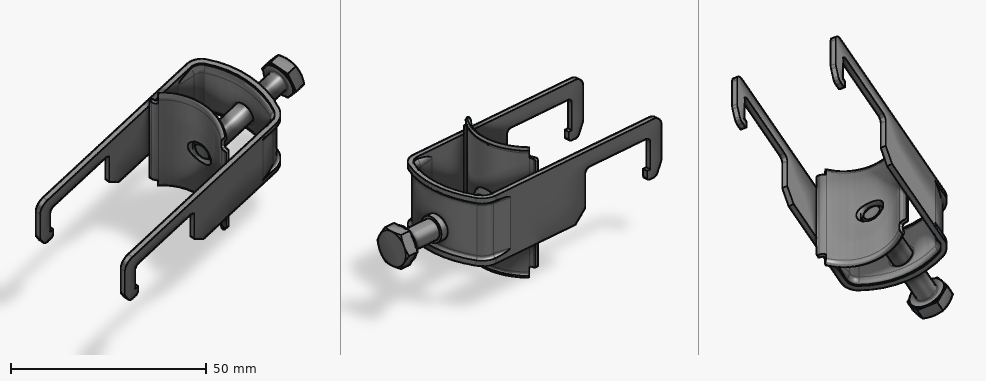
import cadquery as cq
import math


cutter_margin = 4.1

strap_thickness = 1.5
strap_width = 30.0
strap_half_width = strap_width / 2
strap_height = 20.0
strap_mid_z = 2.7
crown_y = 67.1
crown_radius = 27.0
corner_radius = 5.1
crown_center_y = crown_y - crown_radius
corner_center_x = strap_half_width - corner_radius
corner_center_rise = math.sqrt((crown_radius - corner_radius) ** 2 - corner_center_x**2)
corner_center_y = crown_center_y + corner_center_rise
strap_top_z = strap_mid_z + strap_height / 2
strap_bottom_z = strap_mid_z - strap_height / 2

press_depth = 1.0
press_end_y = 54.5
press_floor_half_height = 7.4
press_outer_round = 1.0
press_inner_round = press_outer_round + strap_thickness

leg_corner_radius = 3.0
heel_chamfer = 3.5
slot_heel_y = 27.45
slot_hook_y = 4.1
slot_top_z = 7.8
slot_heel_radius = 1.5
slot_hook_radius = 1.5
lip_y = 5.3
lip_top_z = -1.65
hook_bottom_z = -4.6
hook_bevel_z = -0.5
hook_bevel_y = 1.9
hook_bevel_radius = 2.5
hook_tip_radius = 1.7
lip_radius = 1.0

collar_diameter = 7.5
collar_top_y = 68.1
collar_inlet_round = 0.7

screw_diameter = 6.0
head_across_flats = 10.0
head_top_y = 82.2
head_height = 4.0
washer_face_thickness = 0.4
head_chamfer_angle = 30.0
under_head_round = 0.25
screw_end_y = 48.1
screw_end_chamfer = 0.65

saddle_thickness = 1.0
saddle_inner_radius = 15.0
saddle_crown_y = 47.6
saddle_half_angle = 45.0
saddle_half_height = 19.2
saddle_axis_y = saddle_crown_y - saddle_inner_radius
curl_length = 1.7
curl_radius = 2.0
rim_half_width = 13.0
rim_half_height = 15.95
rim_bend_radius = 2.5
sheet_corner_radius = 0.5
relief_radius = 0.5
boss_base_diameter = 9.05
boss_top_y = 50.1
boss_height = 1.8
dimple_diameter = 7.2


def crown_outline(inset, lower_y, lower_half_width):
    """Closed XY outline of the bend, moved inward by inset, with straight sides down to lower_y."""
    half_width = strap_half_width - inset
    big_radius = crown_radius - inset
    small_radius = corner_radius - inset
    join_angle = math.atan2(corner_center_rise, corner_center_x)
    middle_angle = join_angle / 2

    join_x = big_radius * math.cos(join_angle)
    join_y = crown_center_y + big_radius * math.sin(join_angle)
    middle_x = corner_center_x + small_radius * math.cos(middle_angle)
    middle_y = corner_center_y + small_radius * math.sin(middle_angle)
    return (
        cq.Workplane("XY")
        .moveTo(-lower_half_width, lower_y)
        .lineTo(-half_width, corner_center_y)
        .threePointArc((-middle_x, middle_y), (-join_x, join_y))
        .threePointArc((0, crown_center_y + big_radius), (join_x, join_y))
        .threePointArc((middle_x, middle_y), (half_width, corner_center_y))
        .lineTo(lower_half_width, lower_y)
        .close()
    )


def filled_strap(inset, height):
    """Solid inside the strap outline, open down to the leg ends."""
    outline = crown_outline(inset, 0, strap_half_width - inset)
    return outline.extrude(height / 2, both=True).translate((0, 0, strap_mid_z))


def press_block(sheet_inset, half_height, edge_round):
    """Block around the bend whose inner face is the pressed channel, with rounded rims."""
    spread = 2.0
    lower_y = corner_center_y - (corner_center_y - press_end_y) * spread
    lower_half_width = strap_half_width - sheet_inset + press_depth * (spread - 1)
    block_top_y = crown_y + cutter_margin
    block = (
        cq.Workplane("XY")
        .box(2 * (strap_half_width + cutter_margin), block_top_y - lower_y, 2 * half_height)
        .translate((0, (block_top_y + lower_y) / 2, 0))
    )
    core = crown_outline(sheet_inset + press_depth, lower_y, lower_half_width)
    block = block.cut(core.extrude(half_height, both=True))
    rim_center = cq.selectors.BoxSelector(
        (-strap_half_width, lower_y, -half_height - cutter_margin),
        (strap_half_width, crown_y, half_height + cutter_margin),
    )
    rims = block.faces("|Z").edges(rim_center)
    return rims.fillet(edge_round).translate((0, 0, strap_mid_z))


def leg_side_profile():
    """Solid across both legs, bounded by the hooked side outline."""
    body = (
        cq.Workplane("YZ")
        .moveTo(crown_y, strap_top_z)
        .lineTo(0, strap_top_z)
        .lineTo(0, hook_bevel_z)
        .lineTo(hook_bevel_y, hook_bottom_z)
        .lineTo(lip_y, hook_bottom_z)
        .lineTo(lip_y, lip_top_z)
        .lineTo(slot_hook_y, lip_top_z)
        .lineTo(slot_hook_y, slot_top_z)
        .lineTo(slot_heel_y, slot_top_z)
        .lineTo(slot_heel_y, strap_bottom_z + heel_chamfer)
        .lineTo(slot_heel_y + heel_chamfer, strap_bottom_z)
        .lineTo(crown_y, strap_bottom_z)
        .close()
        .extrude(strap_half_width + cutter_margin, both=True)
    )
    rounded_corners = [
        (0, strap_top_z, leg_corner_radius),
        (0, hook_bevel_z, hook_bevel_radius),
        (hook_bevel_y, hook_bottom_z, hook_tip_radius),
        (lip_y, hook_bottom_z, lip_radius),
        (slot_hook_y, slot_top_z, slot_hook_radius),
        (slot_heel_y, slot_top_z, slot_heel_radius),
    ]
    for y, z, radius in rounded_corners:
        corner = cq.selectors.NearestToPointSelector((0, y, z))
        body = body.edges("|X").edges(corner).fillet(radius)
    return body


def cylinder_along_y(diameter, start_y, end_y):
    """Round bar on the screw axis."""
    return cq.Workplane("XZ", origin=(0, end_y, 0)).circle(diameter / 2).extrude(end_y - start_y)


def make_bracket():
    outer = filled_strap(0, strap_height)
    strap = outer.cut(filled_strap(strap_thickness, strap_height))

    pad_half_height = press_floor_half_height + press_inner_round
    pad = press_block(strap_thickness, pad_half_height, press_inner_round)
    strap = strap.union(pad.intersect(outer))

    recess_half_height = press_floor_half_height + press_outer_round
    strap = strap.cut(press_block(0, recess_half_height, press_outer_round))
    strap = strap.intersect(leg_side_profile())

    pressed_inner_y = crown_y - press_depth - strap_thickness
    collar_base_y = pressed_inner_y + strap_thickness / 2
    strap = strap.union(cylinder_along_y(collar_diameter, collar_base_y, collar_top_y))
    strap = strap.cut(cylinder_along_y(screw_diameter, screw_end_y, head_top_y))
    inlet_edge = cq.selectors.BoxSelector(
        (-collar_diameter, pressed_inner_y - strap_thickness, -collar_diameter),
        (collar_diameter, pressed_inner_y + strap_thickness / 2, collar_diameter),
        boundingbox=True,
    )
    return strap.edges(inlet_edge).fillet(collar_inlet_round)


def make_screw():
    head_bottom_y = head_top_y - head_height
    hex_bottom_y = head_bottom_y + washer_face_thickness
    corner_radius_of_hex = head_across_flats / math.sqrt(3)
    hexagon = (
        cq.Workplane("XZ", origin=(0, head_top_y, 0))
        .polygon(6, 2 * corner_radius_of_hex)
        .extrude(head_top_y - hex_bottom_y)
    )
    corner_overhang = corner_radius_of_hex - head_across_flats / 2
    chamfer_drop = corner_overhang * math.tan(math.radians(head_chamfer_angle))
    chamfered_blank = cylinder_along_y(2 * corner_radius_of_hex, hex_bottom_y, head_top_y)
    chamfered_blank = chamfered_blank.faces(">Y").chamfer(chamfer_drop, corner_overhang)
    head = hexagon.intersect(chamfered_blank)
    head = head.union(cylinder_along_y(head_across_flats, head_bottom_y, hex_bottom_y))

    shank = cylinder_along_y(screw_diameter, screw_end_y, head_bottom_y)
    shank = shank.faces("<Y").chamfer(screw_end_chamfer)
    shank_root = screw_shank_root(head_bottom_y)
    return head.union(shank).union(shank_root)


def screw_shank_root(head_bottom_y):
    """Small concave round where the shank meets the head."""
    shank_radius = screw_diameter / 2
    bulge = under_head_round * (1 - math.sqrt(0.5))
    return (
        cq.Workplane("XY")
        .moveTo(0, head_bottom_y)
        .lineTo(shank_radius + under_head_round, head_bottom_y)
        .threePointArc(
            (shank_radius + bulge, head_bottom_y - bulge),
            (shank_radius, head_bottom_y - under_head_round),
        )
        .lineTo(0, head_bottom_y - under_head_round)
        .close()
        .revolve(360, (0, 0, 0), (0, 1, 0))
    )


def make_saddle_trough():
    """Part-cylinder whose two Z ends curl outward, towards the bracket crown."""
    bend_start_z = saddle_half_height - curl_length
    bend_center_x = saddle_inner_radius + curl_radius
    curl_angle = math.asin(curl_length / curl_radius)

    def curl_point(radius, angle, side):
        x = bend_center_x - radius * math.cos(angle)
        return x, side * (bend_start_z + radius * math.sin(angle))

    tight_radius = curl_radius - saddle_thickness
    half_curl = curl_angle / 2
    section = (
        cq.Workplane("XZ")
        .moveTo(*curl_point(curl_radius, 0, -1))
        .lineTo(*curl_point(curl_radius, 0, 1))
        .threePointArc(curl_point(curl_radius, half_curl, 1), curl_point(curl_radius, curl_angle, 1))
        .lineTo(*curl_point(tight_radius, curl_angle, 1))
        .threePointArc(curl_point(tight_radius, half_curl, 1), curl_point(tight_radius, 0, 1))
        .lineTo(*curl_point(tight_radius, 0, -1))
        .threePointArc(curl_point(tight_radius, half_curl, -1), curl_point(tight_radius, curl_angle, -1))
        .lineTo(*curl_point(curl_radius, curl_angle, -1))
        .threePointArc(curl_point(curl_radius, half_curl, -1), curl_point(curl_radius, 0, -1))
        .close()
    )
    trough = section.revolve(2 * saddle_half_angle, (0, 0, 0), (0, 1, 0))
    lip_middle = (curl_radius + tight_radius) / 2
    for side in (-1, 1):
        lip_x, lip_z = curl_point(lip_middle, curl_angle, side)
        for turn in (0, 2 * math.radians(saddle_half_angle)):
            lip_corner = (lip_x * math.cos(turn), lip_x * math.sin(turn), lip_z)
            lip_edge = trough.edges(cq.selectors.NearestToPointSelector(lip_corner))
            trough = lip_edge.fillet(sheet_corner_radius)
    trough = trough.rotate((0, 0, 0), (0, 0, 1), 90 - saddle_half_angle)
    return trough.translate((0, saddle_axis_y, 0))


def make_relief_cutter():
    """Cutter that trims the +Z end of the rim, leaving a round inside corner at the trough edge."""
    angle = math.radians(saddle_half_angle)
    edge = (saddle_inner_radius * math.sin(angle), saddle_axis_y + saddle_inner_radius * math.cos(angle), 0)
    sheet_plane = cq.Plane(
        origin=edge,
        xDir=(math.cos(angle), -math.sin(angle), 0),
        normal=(-math.sin(angle), -math.cos(angle), 0),
    )
    round_top_z = rim_half_height + relief_radius
    bulge = relief_radius * (1 - math.sqrt(0.5))
    return (
        cq.Workplane(sheet_plane)
        .moveTo(0, round_top_z)
        .threePointArc((bulge, rim_half_height + bulge), (relief_radius, rim_half_height))
        .lineTo(rim_half_width, rim_half_height)
        .lineTo(rim_half_width, round_top_z + cutter_margin)
        .lineTo(0, round_top_z + cutter_margin)
        .close()
        .extrude(cutter_margin, both=True)
    )


def make_saddle_rim():
    """Flat side rim at +X, bent smoothly out of the trough edge."""
    angle = math.radians(saddle_half_angle)
    bend_center_x = (saddle_inner_radius + rim_bend_radius) * math.sin(angle)
    bend_center_y = saddle_axis_y + (saddle_inner_radius + rim_bend_radius) * math.cos(angle)
    tight_radius = rim_bend_radius - saddle_thickness

    def bend_point(radius, turn):
        return bend_center_x - radius * math.sin(turn), bend_center_y - radius * math.cos(turn)

    rim = (
        cq.Workplane("XY")
        .moveTo(*bend_point(rim_bend_radius, angle))
        .threePointArc(bend_point(rim_bend_radius, angle / 2), bend_point(rim_bend_radius, 0))
        .lineTo(rim_half_width, bend_center_y - rim_bend_radius)
        .lineTo(rim_half_width, bend_center_y - tight_radius)
        .lineTo(*bend_point(tight_radius, 0))
        .threePointArc(bend_point(tight_radius, angle / 2), bend_point(tight_radius, angle))
        .close()
        .extrude(rim_half_height + relief_radius, both=True)
    )
    relief = make_relief_cutter()
    rim = rim.cut(relief).cut(relief.mirror("XY"))
    return rim.faces(">X").edges("|Y").fillet(sheet_corner_radius)


def make_boss():
    """Conical neck that joins the screw shank to the saddle."""
    return (
        cq.Workplane("XY")
        .moveTo(0, boss_top_y)
        .lineTo(screw_diameter / 2, boss_top_y)
        .lineTo(boss_base_diameter / 2, boss_top_y - boss_height)
        .lineTo(0, boss_top_y - boss_height)
        .close()
        .revolve(360, (0, 0, 0), (0, 1, 0))
    )


def make_dimple():
    """Conical recess around the screw end, open towards -Y."""
    bottom_y = screw_end_y + screw_end_chamfer
    bottom_radius = screw_diameter / 2
    mouth_radius = dimple_diameter / 2
    slope = (mouth_radius - bottom_radius) / (bottom_y - saddle_crown_y)
    cutter_length = 2 * (bottom_y - saddle_crown_y)
    return (
        cq.Workplane("XY")
        .moveTo(0, bottom_y)
        .lineTo(bottom_radius, bottom_y)
        .lineTo(bottom_radius + slope * cutter_length, bottom_y - cutter_length)
        .lineTo(0, bottom_y - cutter_length)
        .close()
        .revolve(360, (0, 0, 0), (0, 1, 0))
    )


def make_screw_with_saddle():
    rim = make_saddle_rim()
    saddle = make_saddle_trough().union(rim).union(rim.mirror("YZ"))
    saddle = saddle.union(make_boss())
    saddle = saddle.cut(make_dimple())
    return saddle.union(make_screw())


bracket = make_bracket()
screw_with_saddle = make_screw_with_saddle()

result = cq.Compound.makeCompound([bracket.val(), screw_with_saddle.val()])